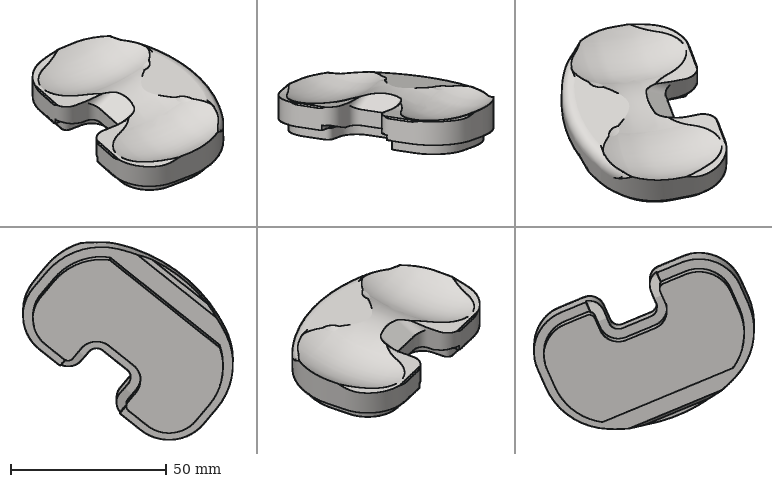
import cadquery as cq
import math

TOTAL_HEIGHT = 14.35
PEDESTAL_HEIGHT = 3.82
POSTERIOR_HEIGHT = 11.6

HALF_WIDTH = 35.525
HALF_DEPTH = 23.49
ANTERIOR_RADIUS = 51.8
SIDE_RADIUS = 22.9
POSTERIOR_RADIUS = 14.4
NOTCH_HALF_WIDTH = 8.24
NOTCH_END_Y = -10.85
NOTCH_INNER_RADIUS = 3.2
NOTCH_MOUTH_RADIUS = 5.2

PEDESTAL_INSET = 3.2
PEDESTAL_ANTERIOR_Y = 14.5

RAMP_START_Y = -14.9
RAMP_END_Y = 1.5
RAMP_BEND = 0.5

RIM_RADIUS = 4.07
FADE_START_X = 24.9
FADE_START_Y = 16.6
FADE_END_X = 31.5
FADE_END_Y = 10.6
FADE_END_HEIGHT = 13.5
FADE_TILT = 0.8

BOWL_X = 21.8
BOWL_FLOOR = 9.05
SADDLE_CREST = 13.53
BOWL_EDGE_X = 11.45
BOWL_OUTER_X = 38.0
BOWL_AXIS_Y = -5.87
BOWL_SWEEP_RADIUS = 52.0

NOTCH_RAMP_BOTTOM = 9.1
NOTCH_RAMP_TOP_Y = -3.57
NOTCH_RAMP_TOP_HEIGHT = 13.6

DIMPLE_X = 13.3
DIMPLE_Y = 8.8
DIMPLE_RADIUS = 10.0
DIMPLE_MOUTH_RADIUS = 4.2

UNDERCUT_LEDGE = 1.3
ANTERIOR_UNDERCUT_HEIGHT = 5.8
ANTERIOR_UNDERCUT_DEPTH = 2.7
POSTERIOR_UNDERCUT_HEIGHT = 5.45
POSTERIOR_UNDERCUT_DEPTH = 7.5
POSTERIOR_UNDERCUT_X = 12.4

CHAMFER_DEPTH = 0.4
CHAMFER_HEIGHT = 0.55

CLEARANCE = 5.0


def on_arc(center_x, center_y, radius, angle):
    """Point on a circle at an angle in radians from +X."""
    return center_x + radius * math.cos(angle), center_y + radius * math.sin(angle)


def mirror_x(point):
    return -point[0], point[1]


def outline(inset=0):
    """Closed notched kidney outline with tangent arcs, moved inwards by an inset."""
    half_width = HALF_WIDTH - inset
    anterior_y = HALF_DEPTH - inset
    posterior_y = -HALF_DEPTH + inset
    anterior_radius = ANTERIOR_RADIUS - inset
    side_radius = SIDE_RADIUS - inset
    posterior_radius = POSTERIOR_RADIUS - inset
    notch_half_width = NOTCH_HALF_WIDTH + inset
    notch_end_y = NOTCH_END_Y + inset
    inner_radius = NOTCH_INNER_RADIUS + inset
    mouth_radius = NOTCH_MOUTH_RADIUS - inset

    anterior_center_y = anterior_y - anterior_radius
    side_x = half_width - side_radius
    side_y = anterior_center_y + math.sqrt((anterior_radius - side_radius) ** 2 - side_x**2)
    join_angle = math.atan2(side_y - anterior_center_y, side_x)
    diagonal = math.pi / 4

    corner_x = half_width - posterior_radius
    corner_y = posterior_y + posterior_radius
    mouth_x = notch_half_width + mouth_radius
    mouth_y = posterior_y + mouth_radius
    inner_x = notch_half_width - inner_radius
    inner_y = notch_end_y - inner_radius

    join = on_arc(side_x, side_y, side_radius, join_angle)
    side_middle = on_arc(side_x, side_y, side_radius, join_angle / 2)
    corner_middle = on_arc(corner_x, corner_y, posterior_radius, -diagonal)
    mouth_middle = on_arc(mouth_x, mouth_y, mouth_radius, -3 * diagonal)
    inner_middle = on_arc(inner_x, inner_y, inner_radius, diagonal)

    return (
        cq.Workplane("XY")
        .moveTo(*mirror_x(join))
        .threePointArc((0, anterior_y), join)
        .threePointArc(side_middle, (half_width, side_y))
        .lineTo(half_width, corner_y)
        .threePointArc(corner_middle, (corner_x, posterior_y))
        .lineTo(mouth_x, posterior_y)
        .threePointArc(mouth_middle, (notch_half_width, mouth_y))
        .lineTo(notch_half_width, inner_y)
        .threePointArc(inner_middle, (inner_x, notch_end_y))
        .lineTo(-inner_x, notch_end_y)
        .threePointArc(mirror_x(inner_middle), (-notch_half_width, inner_y))
        .lineTo(-notch_half_width, mouth_y)
        .threePointArc(mirror_x(mouth_middle), (-mouth_x, posterior_y))
        .lineTo(-corner_x, posterior_y)
        .threePointArc(mirror_x(corner_middle), (-half_width, corner_y))
        .lineTo(-half_width, side_y)
        .threePointArc(mirror_x(side_middle), mirror_x(join))
        .close()
    )


def across(side_profile, half_length):
    """Extrude a closed YZ profile equally to both sides of X = 0."""
    return side_profile.extrude(half_length, both=True)


def body_prism():
    prism = outline().extrude(TOTAL_HEIGHT - PEDESTAL_HEIGHT)
    return prism.translate((0, 0, PEDESTAL_HEIGHT))


def below_fade(side):
    """Space on one side in which the wall stays sharp, under a face tilted up towards X = 0."""
    start_z = TOTAL_HEIGHT - RIM_RADIUS - FADE_TILT * (HALF_WIDTH - FADE_START_X)
    end_z = FADE_END_HEIGHT - FADE_TILT * (HALF_WIDTH - FADE_END_X)
    bottom_z = -FADE_TILT * HALF_WIDTH
    top_z = TOTAL_HEIGHT + CLEARANCE
    far_y = -HALF_DEPTH - CLEARANCE
    profile = (
        cq.Workplane("YZ", origin=(side * HALF_WIDTH, 0, 0))
        .moveTo(FADE_START_Y, bottom_z)
        .lineTo(FADE_START_Y, start_z)
        .lineTo(FADE_END_Y, end_z)
        .lineTo(FADE_END_Y, top_z)
        .lineTo(far_y, top_z)
        .lineTo(far_y, bottom_z)
        .close()
    )
    inward = cq.Vector(-side * HALF_WIDTH, 0, FADE_TILT * HALF_WIDTH)
    return cq.Solid.extrudeLinear(profile.val(), [], inward)


def rounded_rim(prism):
    """Round the anterior top edge and fade the rounding out on both sides."""
    apex = cq.selectors.NearestToPointSelector((0, HALF_DEPTH, TOTAL_HEIGHT))
    rounded = prism.edges(apex).fillet(RIM_RADIUS)
    for side in (-1, 1):
        rounded = rounded.union(prism.intersect(cq.Workplane(below_fade(side))))
    return rounded


def ramp_cutter():
    """Space above the posterior level and the S-shaped ramp."""
    bend_y = RAMP_START_Y + RAMP_BEND * (RAMP_END_Y - RAMP_START_Y)
    bend_z = POSTERIOR_HEIGHT + RAMP_BEND * (TOTAL_HEIGHT - POSTERIOR_HEIGHT)
    far_y = -HALF_DEPTH - CLEARANCE
    profile = (
        cq.Workplane("YZ")
        .moveTo(far_y, POSTERIOR_HEIGHT)
        .lineTo(RAMP_START_Y, POSTERIOR_HEIGHT)
        .tangentArcPoint((bend_y, bend_z), relative=False)
        .tangentArcPoint((RAMP_END_Y, TOTAL_HEIGHT), relative=False)
        .lineTo(RAMP_END_Y, TOTAL_HEIGHT + CLEARANCE)
        .lineTo(far_y, TOTAL_HEIGHT + CLEARANCE)
        .close()
    )
    return across(profile, HALF_WIDTH + CLEARANCE)


def bowls_cutter():
    """Section of saddle and both bowls, revolved about an axis along X."""
    rise = SADDLE_CREST - BOWL_FLOOR
    radius_sum = (BOWL_X**2 + rise**2) / (2 * rise)
    saddle_radius = radius_sum * BOWL_EDGE_X / BOWL_X
    bowl_radius = radius_sum - saddle_radius
    edge_z = SADDLE_CREST - rise * BOWL_EDGE_X / BOWL_X
    outer_z = BOWL_FLOOR + bowl_radius - math.sqrt(bowl_radius**2 - (BOWL_OUTER_X - BOWL_X) ** 2)
    axis_z = BOWL_FLOOR + BOWL_SWEEP_RADIUS
    revolved = (
        cq.Workplane("XZ", origin=(0, BOWL_AXIS_Y, 0))
        .moveTo(-BOWL_OUTER_X, axis_z)
        .lineTo(-BOWL_OUTER_X, outer_z)
        .threePointArc((-BOWL_X, BOWL_FLOOR), (-BOWL_EDGE_X, edge_z))
        .radiusArc((0, SADDLE_CREST), saddle_radius)
        .radiusArc((BOWL_EDGE_X, edge_z), saddle_radius)
        .threePointArc((BOWL_X, BOWL_FLOOR), (BOWL_OUTER_X, outer_z))
        .lineTo(BOWL_OUTER_X, axis_z)
        .close()
        .revolve(360, (0, axis_z), (1, axis_z))
    )
    return revolved.rotate((0, BOWL_AXIS_Y, axis_z), (1, BOWL_AXIS_Y, axis_z), 180)


def notch_ramp_cutter():
    """Sloped lead-in at the closed end of the notch, with rounded sides."""
    slope = (NOTCH_RAMP_TOP_Y - NOTCH_END_Y) / (NOTCH_RAMP_TOP_HEIGHT - NOTCH_RAMP_BOTTOM)
    top_z = TOTAL_HEIGHT + CLEARANCE
    front_y = NOTCH_END_Y - 2 * NOTCH_INNER_RADIUS
    front_z = NOTCH_RAMP_BOTTOM + (front_y - NOTCH_END_Y) / slope
    profile = (
        cq.Workplane("YZ")
        .moveTo(front_y, front_z)
        .lineTo(NOTCH_END_Y + slope * (top_z - NOTCH_RAMP_BOTTOM), top_z)
        .lineTo(front_y, top_z)
        .close()
    )
    wedge = across(profile, NOTCH_HALF_WIDTH)
    sloped_sides = wedge.faces(">(0, 1, -1)").edges("not |X")
    return sloped_sides.fillet(NOTCH_INNER_RADIUS)


def dimple(side):
    depth = DIMPLE_RADIUS - math.sqrt(DIMPLE_RADIUS**2 - DIMPLE_MOUTH_RADIUS**2)
    center_z = TOTAL_HEIGHT + DIMPLE_RADIUS - depth
    return cq.Workplane("XY").sphere(DIMPLE_RADIUS).translate((side * DIMPLE_X, DIMPLE_Y, center_z))


def undercut(height, depth, half_length):
    """Cutter under the anterior edge: a flat ledge, then a slope down to the underside."""
    profile = (
        cq.Workplane("YZ")
        .moveTo(HALF_DEPTH + CLEARANCE, PEDESTAL_HEIGHT)
        .lineTo(HALF_DEPTH + CLEARANCE, height)
        .lineTo(HALF_DEPTH - UNDERCUT_LEDGE, height)
        .lineTo(HALF_DEPTH - depth, PEDESTAL_HEIGHT)
        .close()
    )
    return across(profile, half_length)


def posterior_chamfer():
    profile = (
        cq.Workplane("YZ")
        .moveTo(-HALF_DEPTH, POSTERIOR_HEIGHT)
        .lineTo(-HALF_DEPTH + CHAMFER_DEPTH, POSTERIOR_HEIGHT)
        .lineTo(-HALF_DEPTH, POSTERIOR_HEIGHT - CHAMFER_HEIGHT)
        .close()
    )
    return across(profile, HALF_WIDTH)


def pedestal():
    """Inset copy of the outline, cut off flat at the anterior side."""
    inset_prism = outline(PEDESTAL_INSET).extrude(PEDESTAL_HEIGHT)
    anterior = cq.Workplane("XY").box(
        2 * HALF_WIDTH, HALF_DEPTH, PEDESTAL_HEIGHT, centered=(True, False, False)
    )
    return inset_prism.cut(anterior.translate((0, PEDESTAL_ANTERIOR_Y, 0)))


body = rounded_rim(body_prism())
body = body.cut(ramp_cutter())
body = body.cut(posterior_chamfer())
body = body.cut(notch_ramp_cutter())
body = body.cut(bowls_cutter())
for side in (-1, 1):
    body = body.cut(dimple(side))
anterior_undercut = undercut(ANTERIOR_UNDERCUT_HEIGHT, ANTERIOR_UNDERCUT_DEPTH, HALF_WIDTH)
posterior_undercut = undercut(POSTERIOR_UNDERCUT_HEIGHT, POSTERIOR_UNDERCUT_DEPTH, POSTERIOR_UNDERCUT_X)
body = body.cut(anterior_undercut)
body = body.cut(posterior_undercut.mirror("XZ"))
result = body.union(pedestal())